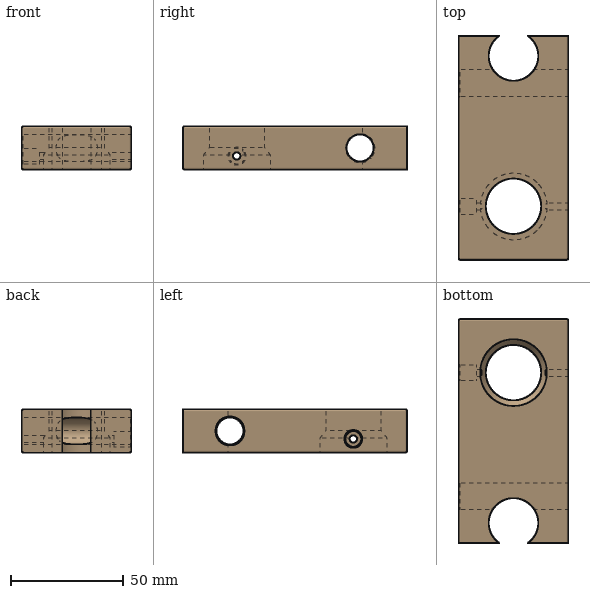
import cadquery as cq

width = 49.0
length = 100.0
height = 19.5
edge_radius = 1.0
mid_x = width / 2

bore_diameter = 24.6
bore_y = 24.0
counterbore_diameter = 29.8
counterbore_depth = 6.8
taper_height = 3.2
open_bore_diameter = 22.0
open_bore_y = length - 9.0

cross_hole_diameter = 12.0
cross_hole_y = length - 21.0
cross_hole_z = height / 2
screw_hole_diameter = 7.0
screw_hole_depth = 8.0
pilot_diameter = 3.2
screw_hole_z = 6.2
mouth_chamfer = 0.5


def vertical_cylinder(diameter, y, bottom, depth):
    """Cylinder on the block's middle plane, rising from the given bottom level."""
    return cq.Workplane("XY", origin=(mid_x, y, bottom)).circle(diameter / 2).extrude(depth)


def tapered_counterbore():
    """Wide bore from the bottom face, narrowing through a cone to the main bore."""
    bore_radius = bore_diameter / 2
    counterbore_radius = counterbore_diameter / 2
    taper_top = counterbore_depth + taper_height
    profile = [
        (0, 0),
        (counterbore_radius, 0),
        (counterbore_radius, counterbore_depth),
        (bore_radius, taper_top),
        (0, taper_top),
    ]
    section = cq.Workplane("XZ").polyline(profile).close()
    return section.revolve(360, (0, 0), (0, 1)).translate((mid_x, bore_y, 0))


def cross_cylinder(diameter, y, z, depth):
    """Cylinder running from the -X side into the block."""
    return cq.Workplane("YZ", origin=(0, y, z)).circle(diameter / 2).extrude(depth)


def mouth_cone(hole_diameter, y, z):
    """Conical tool that chamfers a hole mouth on the -X side."""
    hole_radius = hole_diameter / 2
    mouth = cq.Solid.makeCone(
        hole_radius + mouth_chamfer,
        hole_radius,
        mouth_chamfer,
        pnt=cq.Vector(0, y, z),
        dir=cq.Vector(1, 0, 0),
    )
    return cq.Workplane(mouth)


block = cq.Workplane("XY").box(width, length, height, centered=False)
block = block.edges("not(>Y)").fillet(edge_radius)

block = block.cut(vertical_cylinder(bore_diameter, bore_y, 0, height))
block = block.cut(tapered_counterbore())
block = block.cut(vertical_cylinder(open_bore_diameter, open_bore_y, 0, height))

block = block.cut(cross_cylinder(cross_hole_diameter, cross_hole_y, cross_hole_z, width))
block = block.cut(mouth_cone(cross_hole_diameter, cross_hole_y, cross_hole_z))

block = block.cut(cross_cylinder(screw_hole_diameter, bore_y, screw_hole_z, screw_hole_depth))
block = block.cut(cross_cylinder(pilot_diameter, bore_y, screw_hole_z, width))
block = block.cut(mouth_cone(screw_hole_diameter, bore_y, screw_hole_z))

result = block